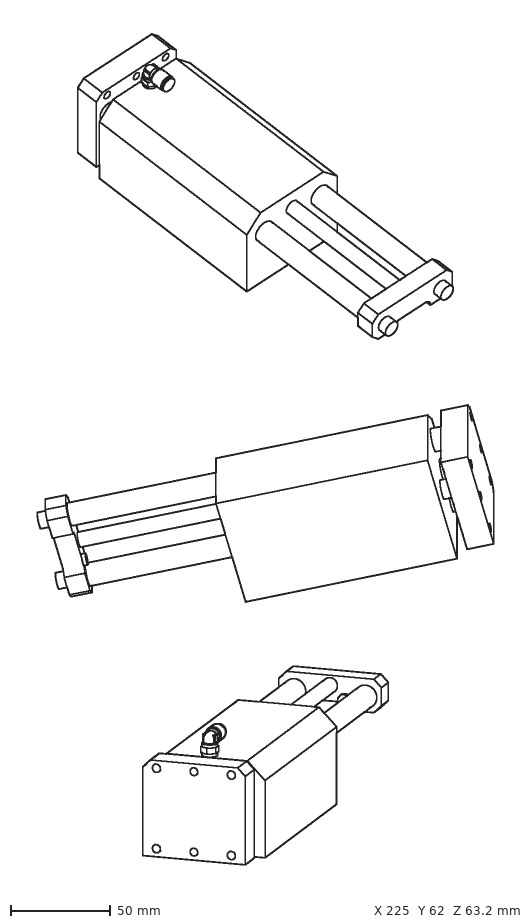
import cadquery as cq
import math

housing_start = 20.0
housing_length = 110.0
housing_end = housing_start + housing_length
housing_width = 62.0
housing_height = 50.0
housing_chamfer = 9.5

rear_length = 14.0
rear_width = 55.0
rear_bottom = 1.1
rear_top = 51.5
plate_chamfer = 4.0
mount_pitch = 20.0
mount_low = 5.5
mount_high = 47.5
corner_hole_diameter = 4.3
middle_hole_diameter = 4.0

overall_length = 225.0
stud_length = 5.2
stud_diameter = 8.5
front_length = 10.8
front_end = overall_length - stud_length
front_start = front_end - front_length
front_bottom = 27.0
front_top = 44.5
notch_width = 24.8
notch_height = 4.0
notch_fillet = 3.5
screw_diameter = 6.0
screw_height = 2.0
screw_y = -7.9
screw_z = 32.6

guide_diameter = 12.0
guide_spacing = 38.0
guide_z = 35.0
lower_rod_diameter = 10.0
lower_rod_z = 17.8
upper_rod_diameter = 7.9
upper_rod_z = 39.4
rod_engagement = 11.2

fitting_x = 24.3
fitting_axis_z = 59.0
base_diameter = 7.9
base_height = 1.5
hex_flats = 7.9
hex_sides = 6
hex_corners = hex_flats / math.cos(math.pi / hex_sides)
hex_height = 3.2
neck_diameter = 7.9
neck_height = 2.0
neck_chamfer = 0.5
elbow_diameter = 6.0
web_start = 23.0
web_end = 27.2
web_width = 6.8
web_top = 60.8
cone_start = 27.0
collar_start = 29.2
collar_length = 8.0
collar_chamfer = 0.7
collar_diameter = 8.5
release_ring_diameter = 7.9
release_ring_length = 1.0


def rod_x(diameter, start, end, y, z):
    """Round rod along X between two X positions."""
    return cq.Workplane("YZ", origin=(start, y, z)).circle(diameter / 2).extrude(end - start)


def plate_x(start, length, width, bottom, top):
    """Upright rectangular plate, centred on Y."""
    size = (length, width, top - bottom)
    return cq.Workplane("XY", origin=(start, 0, bottom)).box(*size, centered=(False, True, False))


def make_guides_and_rods():
    """All rods that run between the plates and the housing."""
    guides = [
        rod_x(guide_diameter, rear_length, front_start, side * guide_spacing / 2, guide_z)
        for side in (-1, 1)
    ]
    rear_end = housing_start + rod_engagement
    piston = rod_x(guide_diameter, rear_length, rear_end, 0, guide_z)
    lower = rod_x(lower_rod_diameter, rear_length, rear_end, 0, lower_rod_z)
    upper = rod_x(upper_rod_diameter, housing_end - rod_engagement, front_start, 0, upper_rod_z)
    return guides + [piston, lower, upper]


def make_rear_plate():
    plate = plate_x(0, rear_length, rear_width, rear_bottom, rear_top)
    plate = plate.edges("|X and >Z").chamfer(plate_chamfer)
    for z in (mount_low, mount_high):
        for column in (-1, 0, 1):
            diameter = corner_hole_diameter if column else middle_hole_diameter
            plate = plate.cut(rod_x(diameter, 0, rear_length, column * mount_pitch, z))
    return plate


def make_front_plate():
    plate = plate_x(front_start, front_length, rear_width, front_bottom, front_top)
    plate = plate.edges("|X").chamfer(plate_chamfer)
    notch = plate_x(front_start, front_length, notch_width, front_bottom, front_bottom + notch_height)
    notch = notch.edges("|X and >Z").fillet(notch_fillet)
    plate = plate.cut(notch)
    for side in (-1, 1):
        y = side * guide_spacing / 2
        plate = plate.union(rod_x(stud_diameter, front_end, overall_length, y, guide_z))
    return plate.union(rod_x(screw_diameter, front_start - screw_height, front_start, screw_y, screw_z))


def make_slide(rods):
    slide = make_rear_plate().union(make_front_plate())
    for rod in rods:
        slide = slide.union(rod)
    return slide


def make_fitting():
    """Push-in elbow: hexagonal foot, round elbow and collar pointing along X."""
    foot = cq.Workplane("XY", origin=(fitting_x, 0, housing_height))
    fitting = foot.circle(base_diameter / 2).extrude(base_height)

    hexagon = foot.workplane(offset=base_height).polygon(hex_sides, hex_corners)
    fitting = fitting.union(hexagon.extrude(hex_height))

    neck_base = base_height + hex_height
    neck = foot.workplane(offset=neck_base).circle(neck_diameter / 2).extrude(neck_height)
    fitting = fitting.union(neck.edges(">Z").chamfer(neck_chamfer))

    neck_top = housing_height + neck_base + neck_height
    riser = foot.workplane(offset=neck_base).circle(elbow_diameter / 2)
    fitting = fitting.union(riser.extrude(fitting_axis_z - housing_height - neck_base))
    corner = cq.Workplane("XY", origin=(fitting_x, 0, fitting_axis_z)).sphere(elbow_diameter / 2)
    arm = rod_x(elbow_diameter, fitting_x, collar_start, 0, fitting_axis_z)
    fitting = fitting.union(corner).union(arm)

    web = cq.Workplane("XY", origin=(web_start, 0, neck_top))
    web = web.box(web_end - web_start, web_width, web_top - neck_top, centered=(False, True, False))
    fitting = fitting.union(web)

    collar_end = collar_start + collar_length
    cone = (
        cq.Workplane("YZ", origin=(cone_start, 0, fitting_axis_z))
        .circle(elbow_diameter / 2)
        .workplane(offset=collar_start - cone_start)
        .circle(neck_diameter / 2)
        .loft()
    )
    collar = rod_x(collar_diameter, collar_start, collar_end, 0, fitting_axis_z)
    collar = collar.edges("%CIRCLE").chamfer(collar_chamfer)
    ring_end = collar_end + release_ring_length
    ring = rod_x(release_ring_diameter, collar_end, ring_end, 0, fitting_axis_z)
    return fitting.union(cone).union(collar).union(ring)


def make_housing(rods):
    """Chamfered block with its fitting, bored to suit every rod of the slide."""
    block = plate_x(housing_start, housing_length, housing_width, 0, housing_height)
    block = block.edges("|X and >Z").chamfer(housing_chamfer)
    for rod in rods:
        block = block.cut(rod)
    return block.union(make_fitting())


slide_rods = make_guides_and_rods()
housing = make_housing(slide_rods)
slide = make_slide(slide_rods)

result = cq.Compound.makeCompound([housing.val(), slide.val()])